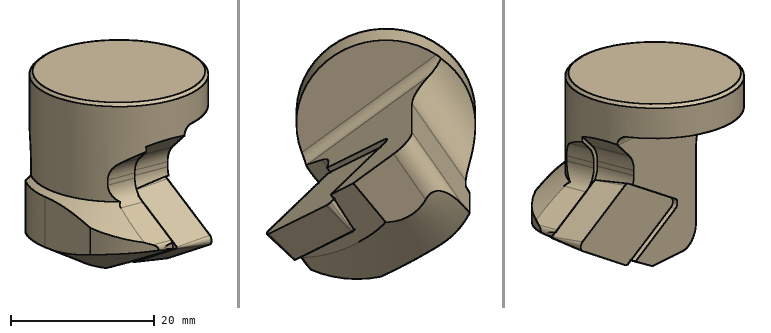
import cadquery as cq
import math


head_radius = 12.5
head_chamfer = 0.45
head_height = 5.0
body_height = 27.18
ledge_z = -14.75
base_radius = 6.3
cone_slope = math.tan(math.radians(30))

left_x = -6.3
left_arc_radius = 7.9
left_arc_z = -12.8
bottom_round = 3.25

front_y = -13.6
front_flat_end = 9.72
front_arc_radius = 12.0
front_arc_middle = (14.25, -11.37)
front_arc_end = (17.72, -7.75)

tilt = math.radians(4.7)
nose_x = 19.9
nose_z = -19.55
half_angle = math.radians(27.5)
insert_half_height = 6.2
insert_thickness = 5.5
insert_relief = 7.0
nose_radius = 0.8

tip_sharp_u = -0.6
tip_radius = 0.85
neck_radius = 3.4
neck_u = -10.7
neck_straight = 0.78
neck_flare = math.radians(42)
underside_angle = math.radians(26.4)
clearance_step = 0.85
back_y = 2.95
back_fillet = 1.45

REACH = 48.6

nose_frame = cq.Plane(
    origin=(nose_x, 0, nose_z),
    xDir=(math.cos(tilt), -math.sin(tilt), 0),
    normal=(-math.sin(tilt), -math.cos(tilt), 0),
)


def make_blank():
    """Chamfered cylinder with a double-cone skirt, turned about Z."""
    rim_radius = (
        head_radius + base_radius + (body_height + ledge_z) / cone_slope
    ) / 2
    rim_z = ledge_z - (rim_radius - head_radius) * cone_slope
    return (
        cq.Workplane("XZ")
        .polyline([
            (0, 0),
            (head_radius - head_chamfer, 0),
            (head_radius, -head_chamfer),
            (head_radius, ledge_z),
            (rim_radius, rim_z),
            (base_radius, -body_height),
            (0, -body_height),
        ])
        .close()
        .revolve(360, (0, 0, 0), (0, 1, 0))
    )


def make_front_limit():
    """Upright prism whose front wall trims the skirt."""
    arc_center_y = front_y + front_arc_radius
    arc_start_y = arc_center_y - math.sqrt(front_arc_radius**2 - left_x**2)
    middle_x = left_x / 2
    middle_y = arc_center_y - math.sqrt(front_arc_radius**2 - middle_x**2)
    return (
        cq.Workplane("XY")
        .moveTo(-REACH, REACH)
        .lineTo(-REACH, -head_radius)
        .lineTo(left_x, -head_radius)
        .lineTo(left_x, arc_start_y)
        .threePointArc((middle_x, middle_y), (0, front_y))
        .lineTo(front_flat_end, front_y)
        .threePointArc(front_arc_middle, front_arc_end)
        .lineTo(front_arc_end[0], 0)
        .lineTo(REACH, 0)
        .lineTo(REACH, REACH)
        .close()
        .extrude(-body_height)
    )


def make_left_waste():
    """Material left of the flat side, with its concave and convex rounds."""
    arc_center_x = left_x - left_arc_radius
    diagonal = left_arc_radius * math.sqrt(0.5)
    corner = bottom_round * (1 - math.sqrt(0.5))
    return (
        cq.Workplane("XZ")
        .moveTo(arc_center_x, left_arc_z + left_arc_radius)
        .threePointArc(
            (arc_center_x + diagonal, left_arc_z + diagonal), (left_x, left_arc_z)
        )
        .lineTo(left_x, -body_height + bottom_round)
        .threePointArc(
            (left_x + corner, -body_height + corner),
            (left_x + bottom_round, -body_height),
        )
        .lineTo(left_x + bottom_round, -REACH)
        .lineTo(-REACH, -REACH)
        .lineTo(-REACH, left_arc_z + left_arc_radius)
        .close()
        .extrude(REACH, both=True)
    )


def make_tool_side_waste():
    """Material right of the neck, the insert support and its sloping underside."""
    sin_a = math.sin(half_angle)
    cos_a = math.cos(half_angle)
    center_u = neck_u + neck_radius
    lower_v = (tip_sharp_u - center_u) * math.tan(half_angle) + neck_radius / cos_a
    upper_v = lower_v + neck_straight

    flare_u = center_u - neck_radius * math.sin(neck_flare)
    flare_v = upper_v + neck_radius * math.cos(neck_flare)
    upper_mid_angle = (math.pi / 2 - neck_flare) / 2
    upper_mid = (
        center_u - neck_radius * math.cos(upper_mid_angle),
        upper_v + neck_radius * math.sin(upper_mid_angle),
    )
    lower_mid_angle = (math.pi / 2 - half_angle) / 2
    lower_mid = (
        center_u - neck_radius * math.cos(lower_mid_angle),
        lower_v - neck_radius * math.sin(lower_mid_angle),
    )
    lower_end = (center_u - neck_radius * sin_a, lower_v - neck_radius * cos_a)

    tip_center_u = tip_sharp_u - tip_radius / sin_a
    tip_tangent_u = tip_center_u + tip_radius * sin_a
    tip_tangent_v = tip_radius * cos_a
    tip_under_u = tip_center_u + tip_radius * math.sin(underside_angle)
    tip_under_v = -tip_radius * math.cos(underside_angle)

    flare_top_v = flare_v + (REACH - flare_u) * math.tan(neck_flare)
    underside_u = tip_under_u - (REACH + tip_under_v) / math.tan(underside_angle)
    return (
        cq.Workplane(nose_frame)
        .moveTo(REACH, flare_top_v)
        .lineTo(flare_u, flare_v)
        .threePointArc(upper_mid, (neck_u, upper_v))
        .lineTo(neck_u, lower_v)
        .threePointArc(lower_mid, lower_end)
        .lineTo(tip_tangent_u, tip_tangent_v)
        .threePointArc((tip_center_u + tip_radius, 0), (tip_under_u, tip_under_v))
        .lineTo(underside_u, -REACH)
        .lineTo(REACH, -REACH)
        .close()
        .extrude(REACH, both=True)
    )


def make_seat_clearance(tool_side_waste):
    """Neck outline stepped inwards behind the insert seat, above the nose."""
    behind_seat = (
        cq.Workplane(nose_frame)
        .workplane(offset=insert_thickness)
        .center(0, REACH / 2)
        .rect(2 * REACH, REACH)
        .extrude(-REACH)
    )
    step = nose_frame.xDir * -clearance_step
    return tool_side_waste.translate(step).intersect(behind_seat)


def make_back_waste():
    """Material behind the tilted back face, filleted under the head."""
    back_frame = cq.Plane(
        origin=(left_x, back_y, -head_height),
        xDir=nose_frame.xDir,
        normal=(0, 0, 1),
    )
    return (
        cq.Workplane(back_frame)
        .rect(2 * REACH, REACH)
        .extrude(-REACH)
        .translate((REACH / 2 * math.sin(tilt), REACH / 2 * math.cos(tilt), 0))
        .edges(cq.selectors.NearestToPointSelector((left_x, back_y, -head_height)))
        .fillet(back_fillet)
    )


def make_rhombus(depth, relief):
    """Rhombic block with rounded corners; positive depth runs to the front."""
    sin_a = math.sin(half_angle)
    cos_a = math.cos(half_angle)
    nose_u = -nose_radius
    sharp_u = nose_u + nose_radius / sin_a
    center_u = sharp_u - insert_half_height / math.tan(half_angle)
    far_nose_u = 2 * center_u - nose_u
    side_v = insert_half_height - nose_radius / cos_a

    du = nose_radius * sin_a
    dv = nose_radius * cos_a
    return (
        cq.Workplane(nose_frame)
        .moveTo(nose_u + du, -dv)
        .threePointArc((nose_u + nose_radius, 0), (nose_u + du, dv))
        .lineTo(center_u + du, side_v + dv)
        .threePointArc((center_u, side_v + nose_radius), (center_u - du, side_v + dv))
        .lineTo(far_nose_u - du, dv)
        .threePointArc((far_nose_u - nose_radius, 0), (far_nose_u - du, -dv))
        .lineTo(center_u - du, -side_v - dv)
        .threePointArc((center_u, -side_v - nose_radius), (center_u + du, -side_v - dv))
        .close()
        .extrude(depth, taper=relief)
    )


insert = make_rhombus(insert_thickness, insert_relief)
chip_space = make_rhombus(-REACH, 0)
tool_side_waste = make_tool_side_waste()
body = (
    make_blank()
    .intersect(make_front_limit())
    .cut(make_left_waste())
    .cut(tool_side_waste)
    .cut(make_seat_clearance(tool_side_waste))
    .cut(make_back_waste())
    .cut(insert)
    .cut(chip_space)
)
result = cq.Compound.makeCompound([body.val(), insert.val()])